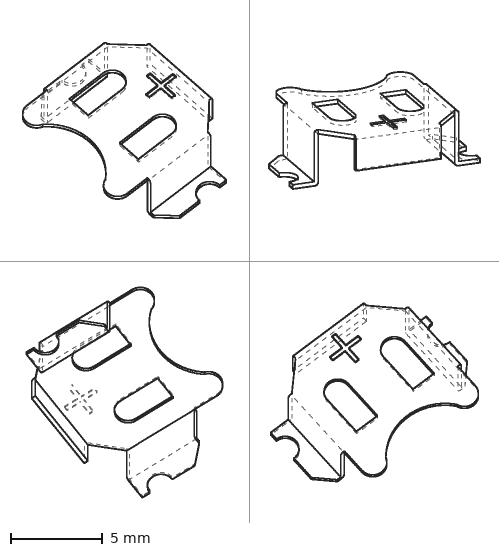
import cadquery as cq
import math

overall_width = 11.0
overall_depth = 8.52
overall_height = 3.25
thickness = 0.25
bend_radius = 0.22

plate_half_width = 4.0
back_half_width = 2.5
plate_back = overall_depth - thickness
plate_bottom = overall_height - thickness
ear_radius = 0.77
mouth_half_width = back_half_width
mouth_top = 1.73

wall_length = 4.5
wall_back = plate_back - (plate_half_width - back_half_width)
wall_front = wall_back - wall_length
foot_chamfer = 1.0
notch_radius = 0.75
notch_setback = 1.25

flange_height = 2.0

slot_width = 1.5
slot_length = 3.25
slot_offset = 2.0
slot_front = wall_front + 0.5
mark_length = 2.0
mark_width = 0.25
mark_depth = 0.1
mark_setback = 1.25


def make_plate():
    """Flat plate with angled back corners and two round ears beside a curved mouth."""
    ear_x = plate_half_width - ear_radius
    mouth_end_y = ear_radius - math.sqrt(ear_radius**2 - (ear_x - mouth_half_width) ** 2)
    return (
        cq.Workplane("XY")
        .workplane(offset=plate_bottom)
        .moveTo(-back_half_width, plate_back)
        .lineTo(back_half_width, plate_back)
        .lineTo(plate_half_width, wall_back)
        .lineTo(plate_half_width, ear_radius)
        .threePointArc((ear_x, 0), (mouth_half_width, mouth_end_y))
        .threePointArc((0, mouth_top), (-mouth_half_width, mouth_end_y))
        .threePointArc((-ear_x, 0), (-plate_half_width, ear_radius))
        .lineTo(-plate_half_width, wall_back)
        .close()
        .extrude(thickness)
    )


def make_back_flange():
    """Downturned tab along the back edge, rounded on its outer top edge."""
    return (
        cq.Workplane("XY")
        .box(2 * back_half_width, thickness, flange_height, centered=(True, False, False))
        .translate((0, plate_back, overall_height - flange_height))
        .edges(">Y and >Z")
        .fillet(bend_radius)
    )


def make_right_leg():
    """Side wall and outward foot with a screw notch and a clipped front corner."""
    half_width = overall_width / 2
    bend_end = plate_half_width + bend_radius
    wall = (
        cq.Workplane("XY")
        .box(thickness, wall_length, overall_height, centered=False)
        .translate((plate_half_width, wall_front, 0))
        .edges("(>X and >Z) or (<X and <Z)")
        .fillet(bend_radius)
    )
    foot = (
        cq.Workplane("XY")
        .moveTo(bend_end, wall_front)
        .lineTo(half_width - foot_chamfer, wall_front)
        .lineTo(half_width, wall_front + foot_chamfer)
        .lineTo(half_width, wall_back)
        .lineTo(bend_end, wall_back)
        .close()
        .extrude(thickness)
    )
    notch = (
        cq.Workplane("XY")
        .center(half_width, wall_back - notch_setback)
        .circle(notch_radius)
        .extrude(thickness)
    )
    return wall.union(foot).cut(notch)


def make_slots():
    """Two slots with square front ends and round back ends."""
    slot_radius = slot_width / 2
    round_start = slot_front + slot_length - slot_radius
    slots = cq.Workplane("XY").workplane(offset=plate_bottom)
    for x in (-slot_offset, slot_offset):
        slots = (
            slots.moveTo(x - slot_radius, slot_front)
            .lineTo(x + slot_radius, slot_front)
            .lineTo(x + slot_radius, round_start)
            .threePointArc((x, round_start + slot_radius), (x - slot_radius, round_start))
            .close()
        )
    return slots.extrude(thickness)


def make_plus_mark():
    """Shallow plus-shaped recess in the top face."""
    base = (
        cq.Workplane("XY")
        .workplane(offset=overall_height - mark_depth)
        .center(0, plate_back - mark_setback)
    )
    bar_across = base.rect(mark_length, mark_width).extrude(mark_depth)
    bar_along = base.rect(mark_width, mark_length).extrude(mark_depth)
    return bar_across.union(bar_along)


right_leg = make_right_leg()
result = (
    make_plate()
    .union(make_back_flange())
    .union(right_leg)
    .union(right_leg.mirror("YZ"))
    .cut(make_slots())
    .cut(make_plus_mark())
)